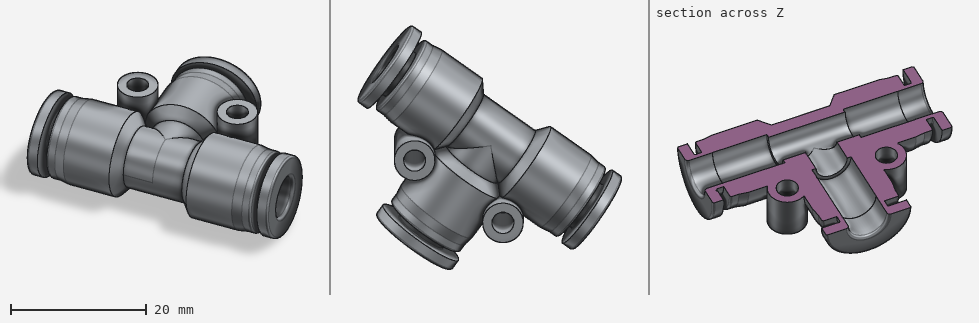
import cadquery as cq
import math


arm_length = 19.3
collar_inner_face = 17.55
body_end = 16.45
taper_outer_end = 15.05
taper_inner_end = 13.55
shoulder_outer_end = 6.2
shoulder_inner_end = 4.7

core_diameter = 9.4
body_diameter = 13.0
body_end_diameter = 12.5
neck_diameter = 7.8

collar_long_diameter = 13.8
collar_short_diameter = 12.43
rim_fillet = 0.3
neck_fillet = 0.15

collar_bore_diameter = 6.2
collar_bore_depth = 4.3
socket_diameter = 6.25
socket_floor = shoulder_outer_end
passage_diameter = 5.0
mouth_fillet = 0.5

boss_diameter = 6.0
boss_height = 13.4
boss_hole_diameter = 3.2
boss_offset = 8.03

arc_middle_ratio = 1 - math.sqrt(0.5)

arms = [(180, 0), (0, -60), (90, 0)]


def make_collar(long_axis_turn):
    """Oval release collar on the +X arm, with its rim rounded at the tip."""
    return (
        cq.Workplane("YZ", origin=(collar_inner_face, 0, 0))
        .ellipse(collar_long_diameter / 2, collar_short_diameter / 2)
        .extrude(arm_length - collar_inner_face)
        .faces(">X")
        .edges()
        .fillet(rim_fillet)
        .rotate((0, 0, 0), (1, 0, 0), long_axis_turn)
    )


def make_body():
    """Turned core, shoulder, tapered body and neck of the +X arm."""
    core_radius = core_diameter / 2
    body_radius = body_diameter / 2
    end_radius = body_end_diameter / 2
    neck_radius = neck_diameter / 2
    rim_middle = rim_fillet * arc_middle_ratio
    fillet_middle = neck_fillet * arc_middle_ratio
    return (
        cq.Workplane("XY")
        .lineTo(0, core_radius)
        .lineTo(shoulder_inner_end, core_radius)
        .lineTo(shoulder_outer_end, body_radius)
        .lineTo(taper_inner_end, body_radius)
        .lineTo(taper_outer_end, end_radius)
        .lineTo(body_end - rim_fillet, end_radius)
        .threePointArc(
            (body_end - rim_middle, end_radius - rim_middle),
            (body_end, end_radius - rim_fillet),
        )
        .lineTo(body_end, neck_radius)
        .lineTo(collar_inner_face - neck_fillet, neck_radius)
        .threePointArc(
            (collar_inner_face - fillet_middle, neck_radius + fillet_middle),
            (collar_inner_face, neck_radius + neck_fillet),
        )
        .lineTo(collar_inner_face, 0)
        .close()
        .revolve(360, (0, 0, 0), (1, 0, 0))
    )


def make_bore():
    """Space removed from the +X arm: rounded mouth, collar bore, tube socket and flow passage."""
    collar_bore_radius = collar_bore_diameter / 2
    socket_radius = socket_diameter / 2
    passage_radius = passage_diameter / 2
    mouth_radius = collar_bore_radius + mouth_fillet
    mouth_middle = mouth_fillet * arc_middle_ratio
    collar_bore_end = arm_length - collar_bore_depth
    return (
        cq.Workplane("XY")
        .lineTo(0, passage_radius)
        .lineTo(socket_floor, passage_radius)
        .lineTo(socket_floor, socket_radius)
        .lineTo(collar_bore_end, socket_radius)
        .lineTo(collar_bore_end, collar_bore_radius)
        .lineTo(arm_length - mouth_fillet, collar_bore_radius)
        .threePointArc(
            (arm_length - mouth_middle, collar_bore_radius + mouth_middle),
            (arm_length, mouth_radius),
        )
        .lineTo(arm_length, 0)
        .close()
        .revolve(360, (0, 0, 0), (1, 0, 0))
    )


def turn_to_arm(shape, direction):
    """Swing a shape built on the +X arm round to another arm."""
    return shape.rotate((0, 0, 0), (0, 0, 1), direction)


def make_boss_cylinders(diameter):
    """Pair of upright cylinders, one at each boss position."""
    return (
        cq.Workplane("XY", origin=(0, 0, -boss_height / 2))
        .pushPoints([(-boss_offset, boss_offset), (boss_offset, boss_offset)])
        .circle(diameter / 2)
        .extrude(boss_height)
    )


fitting = make_boss_cylinders(boss_diameter)
for direction, long_axis_turn in arms:
    arm = make_body().union(make_collar(long_axis_turn))
    fitting = fitting.union(turn_to_arm(arm, direction))

for direction, _ in arms:
    fitting = fitting.cut(turn_to_arm(make_bore(), direction))

result = fitting.cut(make_boss_cylinders(boss_hole_diameter))